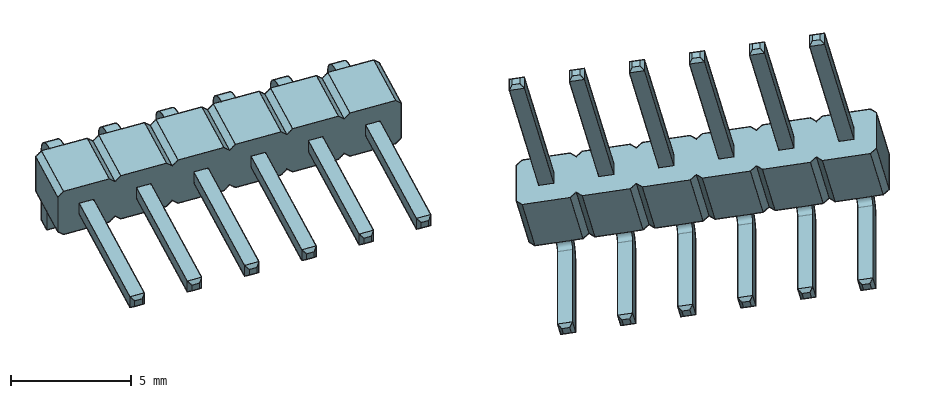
import cadquery as cq

length_x = 10.36
length_y = 15.24
height_z = 6.19

pin_count = 6
pitch = length_y / pin_count
cell_size = pitch
corner_chamfer = pitch / 10
housing_setback = 1.83

pin_width = 0.64
bend_outer_radius = 1.5 * pin_width
bend_inner_radius = bend_outer_radius - pin_width
tip_chamfer = 0.15

leg_x = -housing_setback - cell_size / 2
pin_end_x = leg_x + length_x
pin_bottom_z = cell_size / 2 - height_z
pin_top_z = pin_width / 2
bend_x = leg_x + bend_outer_radius
bend_z = pin_top_z - bend_outer_radius


def make_cell(y):
    """One housing cell with its four long edges chamfered."""
    return (
        cq.Workplane("XY")
        .box(cell_size, pitch, cell_size)
        .edges("|X")
        .chamfer(corner_chamfer)
        .translate((0, y, 0))
    )


def make_pin():
    """Bent square pin at Y = 0 with both ends chamfered."""
    return (
        cq.Workplane("XZ")
        .moveTo(leg_x, pin_bottom_z)
        .lineTo(leg_x, bend_z)
        .radiusArc((bend_x, pin_top_z), bend_outer_radius)
        .lineTo(pin_end_x, pin_top_z)
        .lineTo(pin_end_x, -pin_top_z)
        .lineTo(bend_x, -pin_top_z)
        .radiusArc((leg_x + pin_width, bend_z), -bend_inner_radius)
        .lineTo(leg_x + pin_width, pin_bottom_z)
        .close()
        .extrude(pin_width / 2, both=True)
        .faces(">X or <Z")
        .chamfer(tip_chamfer)
    )


pin = make_pin()
pin_positions = [(i - (pin_count - 1) / 2) * pitch for i in range(pin_count)]

result = make_cell(pin_positions[0])
for y in pin_positions[1:]:
    result = result.union(make_cell(y))
result = result.clean()
for y in pin_positions:
    result = result.union(pin.translate((0, y, 0)))